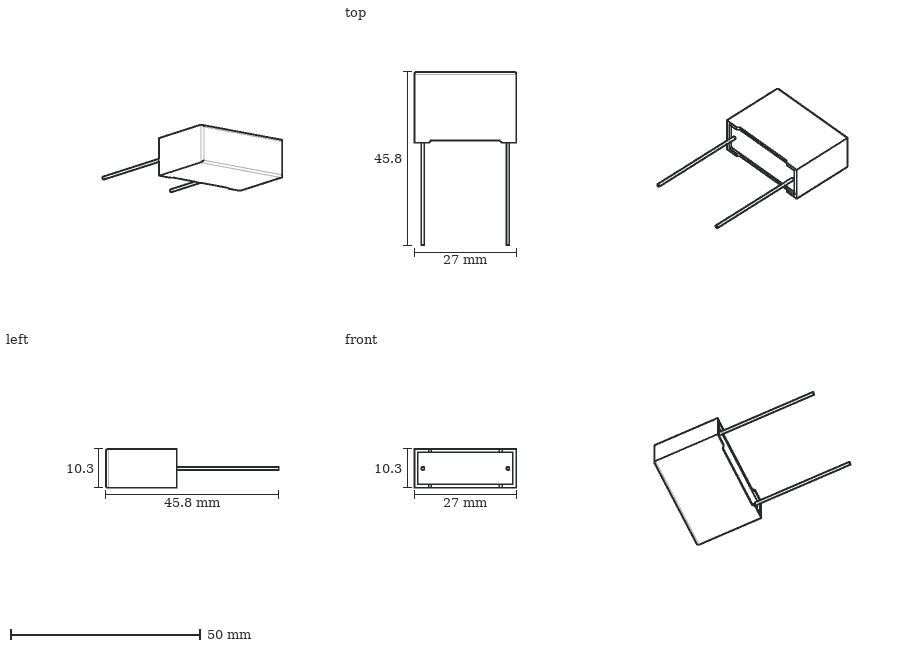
import cadquery as cq


case_width = 27.0
case_depth = 18.8
case_height = 10.3
wall = 0.92
back_edge_radius = 0.6

relief_depth = 0.6
relief_floor_width = 18.0
relief_rim_width = 19.4

resin_recess = 0.7

lead_diameter = 0.85
lead_pitch = 22.5
lead_length_past_rim = 27.0

cavity_width = case_width - 2 * wall
cavity_height = case_height - 2 * wall
cavity_depth = case_depth - wall


def block(width, height, y_start, y_end):
    """Box centred on X and Z that runs from y_start to y_end."""
    depth = y_end - y_start
    box = cq.Workplane("XY").box(width, depth, height, centered=(True, False, True))
    return box.translate((0, y_start, 0))


def make_rim_relief():
    """Trapezoid cutter that passes through both long walls of the case."""
    outline = [
        (-relief_rim_width / 2, 0),
        (-relief_floor_width / 2, relief_depth),
        (relief_floor_width / 2, relief_depth),
        (relief_rim_width / 2, 0),
    ]
    return cq.Workplane("XY").polyline(outline).close().extrude(case_height / 2, both=True)


def make_case():
    """Case with rounded back edges, an open cavity and the rim reliefs."""
    shell = block(case_width, case_height, 0, case_depth)
    shell = shell.faces(">Y").edges().fillet(back_edge_radius)
    cavity = block(cavity_width, cavity_height, 0, cavity_depth)
    return shell.cut(cavity).cut(make_rim_relief())


def make_resin():
    """Resin that fills the cavity up to just below the rim."""
    return block(cavity_width, cavity_height, resin_recess, cavity_depth)


def make_lead(x):
    """Straight round wire that starts on the resin face."""
    face = cq.Workplane("XZ", origin=(x, resin_recess, 0))
    return face.circle(lead_diameter / 2).extrude(resin_recess + lead_length_past_rim)


case = make_case()
resin = make_resin()
leads = [make_lead(side * lead_pitch / 2) for side in (-1, 1)]

result = cq.Compound.makeCompound([case.val(), resin.val(), *[lead.val() for lead in leads]])